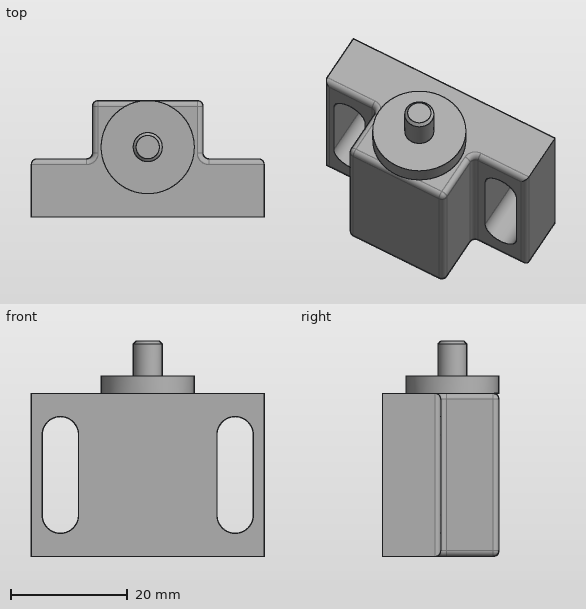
import cadquery as cq

flange_width = 40.0
flange_depth = 10.0
boss_width = 19.0
housing_depth = 20.0
housing_height = 28.0
edge_radius = 1.0

slot_width = 6.2
slot_length = 20.0
slot_spacing = 30.0

collar_diameter = 16.0
collar_height = 3.0
pin_diameter = 5.0
pin_height = 6.0
pin_chamfer = 0.5
plunger_y = housing_depth - collar_diameter / 2


def make_housing():
    flange = cq.Workplane("XY").box(
        flange_width, flange_depth, housing_height, centered=(True, False, False)
    )
    boss = cq.Workplane("XY").box(
        boss_width, housing_depth, housing_height, centered=(True, False, False)
    )
    back_edges = cq.selectors.BoxSelector(
        (-flange_width, flange_depth - edge_radius, -housing_height),
        (flange_width, housing_depth + edge_radius, 2 * housing_height),
    )
    body = flange.union(boss).edges(back_edges).fillet(edge_radius)
    return body.cut(make_slots())


def make_slots():
    return (
        cq.Workplane("XZ")
        .center(0, housing_height / 2)
        .rarray(slot_spacing, 1, 2, 1)
        .slot2D(slot_length, slot_width, 90)
        .extrude(-flange_depth)
    )


def make_plunger():
    return (
        cq.Workplane("XY", origin=(0, plunger_y, housing_height))
        .circle(collar_diameter / 2)
        .extrude(collar_height)
        .faces(">Z")
        .workplane()
        .circle(pin_diameter / 2)
        .extrude(pin_height)
        .faces(">Z")
        .chamfer(pin_chamfer)
    )


housing = make_housing()
plunger = make_plunger()

result = cq.Compound.makeCompound([housing.val(), plunger.val()])